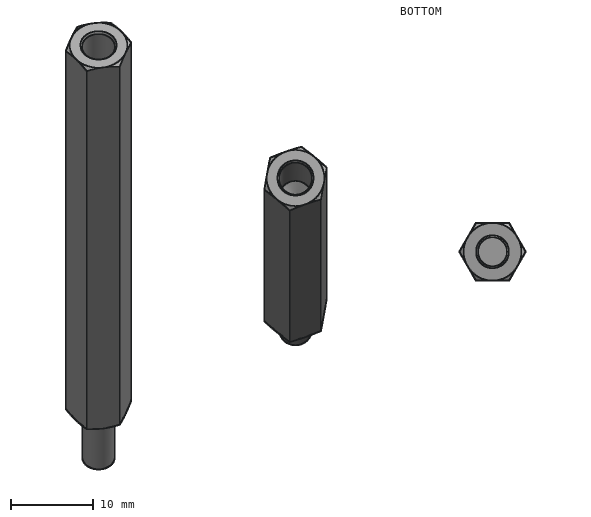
import cadquery as cq
import math

total_length = 80
stud_length = 10.0
stud_diameter = 4
across_flats = 7.0
across_corners = across_flats / math.cos(math.radians(30))
hex_length = total_length - stud_length

corner_chamfer_height = 0.3
corner_chamfer_circle = across_flats
stud_chamfer = 0.2

hole_diameter = 4
hole_depth = 10.0
drill_point_angle = 118
hole_mouth_diameter = 4.4
countersink_depth = 0.3


def make_hex_body():
    """Hexagonal bar with corners on X, its corners turned off conically at both ends."""
    bar = cq.Workplane("XY").polygon(6, across_corners).extrude(hex_length)
    end_radius = corner_chamfer_circle / 2
    full_radius = across_corners / 2
    turned_envelope = (
        cq.Workplane("XZ")
        .moveTo(0, 0)
        .lineTo(end_radius, 0)
        .lineTo(full_radius, corner_chamfer_height)
        .lineTo(full_radius, hex_length - corner_chamfer_height)
        .lineTo(end_radius, hex_length)
        .lineTo(0, hex_length)
        .close()
        .revolve(360, (0, 0, 0), (0, 1, 0))
    )
    return bar.intersect(turned_envelope)


def make_stud():
    """Round stud below the hexagon, chamfered at its free end."""
    stud = cq.Workplane("XY").circle(stud_diameter / 2).extrude(-stud_length)
    return stud.faces("<Z").chamfer(stud_chamfer)


def make_hole():
    """Blind hole with a countersunk mouth and a conical bottom."""
    radius = hole_diameter / 2
    mouth_radius = hole_mouth_diameter / 2
    floor = hex_length - hole_depth
    point_height = radius / math.tan(math.radians(drill_point_angle / 2))
    return (
        cq.Workplane("XZ")
        .moveTo(0, floor - point_height)
        .lineTo(radius, floor)
        .lineTo(radius, hex_length - countersink_depth)
        .lineTo(mouth_radius, hex_length)
        .lineTo(0, hex_length)
        .close()
        .revolve(360, (0, 0, 0), (0, 1, 0))
    )


result = make_hex_body().union(make_stud()).cut(make_hole())